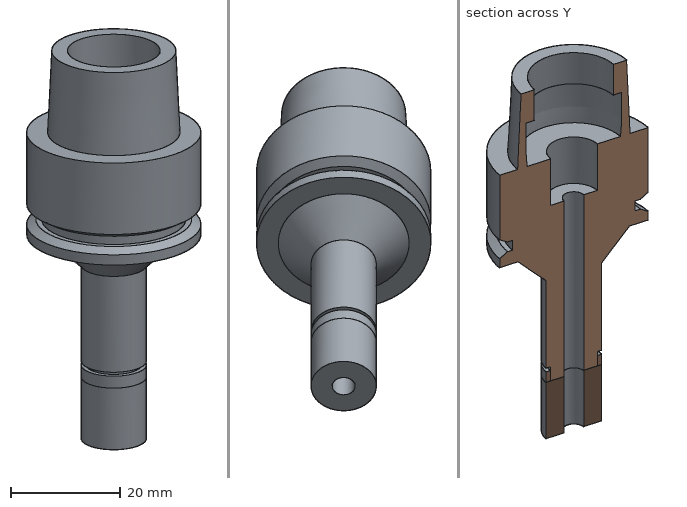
import cadquery as cq


shank_length = 16.0
shank_top_radius = 11.4
shank_base_radius = 12.15

flange_radius = 16.0
flange_length = 20.0
groove_top_z = -14.0
groove_bottom_z = -18.0
groove_floor_radius = 13.25
groove_mouth_radius = 14.3
flank_height = 1.0

stem_radius = 6.0
cone_top_radius = 12.0
cone_length = cone_top_radius - stem_radius
cone_bottom_z = -flange_length - cone_length

total_reach = 60.0
nut_length = 12.1
ring_length = 2.35
gap_height = 0.75
spigot_radius = 5.1
nut_top_z = -total_reach + nut_length
ring_top_z = nut_top_z + ring_length
stem_bottom_z = ring_top_z + gap_height

mouth_radius = 8.5
mouth_depth = 6.7
undercut_radius = 10.25
undercut_depth = 12.7
seat_radius = 10.0
seat_depth = shank_length
socket_radius = 5.0
socket_depth = 26.0
through_radius = 2.1


def turned(profile):
    """Solid of revolution about Z from a closed outline of (radius, z) points."""
    return cq.Workplane("XZ").polyline(profile).close().revolve(360, (0, 0), (0, 1))


def make_tube(outer_radius, inner_radius, bottom_z, height):
    """Plain tube about Z standing on bottom_z."""
    return (
        cq.Workplane("XY")
        .workplane(offset=bottom_z)
        .circle(outer_radius)
        .circle(inner_radius)
        .extrude(height)
    )


def make_holder():
    """Shank, flange, cone, stem and spigot, bored from the shank end."""
    undercut_top_z = shank_length - mouth_depth
    undercut_bottom_z = shank_length - undercut_depth
    seat_z = shank_length - seat_depth
    socket_floor_z = shank_length - socket_depth
    shank = [
        (shank_top_radius, shank_length),
        (shank_base_radius, 0),
    ]
    flange = [
        (flange_radius, 0),
        (flange_radius, groove_top_z),
        (groove_mouth_radius, groove_top_z - flank_height),
        (groove_floor_radius, groove_top_z - flank_height),
        (groove_floor_radius, groove_bottom_z + flank_height),
        (groove_mouth_radius, groove_bottom_z + flank_height),
        (flange_radius, groove_bottom_z),
        (flange_radius, -flange_length),
    ]
    neck = [
        (cone_top_radius, -flange_length),
        (stem_radius, cone_bottom_z),
        (stem_radius, stem_bottom_z),
        (spigot_radius, stem_bottom_z),
        (spigot_radius, nut_top_z),
    ]
    bore = [
        (through_radius, nut_top_z),
        (through_radius, socket_floor_z),
        (socket_radius, socket_floor_z),
        (socket_radius, seat_z),
        (seat_radius, seat_z),
        (undercut_radius, undercut_bottom_z),
        (undercut_radius, undercut_top_z),
        (mouth_radius, undercut_top_z),
        (mouth_radius, shank_length),
    ]
    return turned(shank + flange + neck + bore)


def make_ring():
    """Ring around the spigot, resting on the nut."""
    return make_tube(stem_radius, spigot_radius, nut_top_z, ring_length)


def make_nut():
    """Clamping nut that closes the lower end."""
    return make_tube(stem_radius, through_radius, -total_reach, nut_length)


holder = make_holder()
ring = make_ring()
nut = make_nut()

result = cq.Compound.makeCompound([holder.val(), ring.val(), nut.val()])